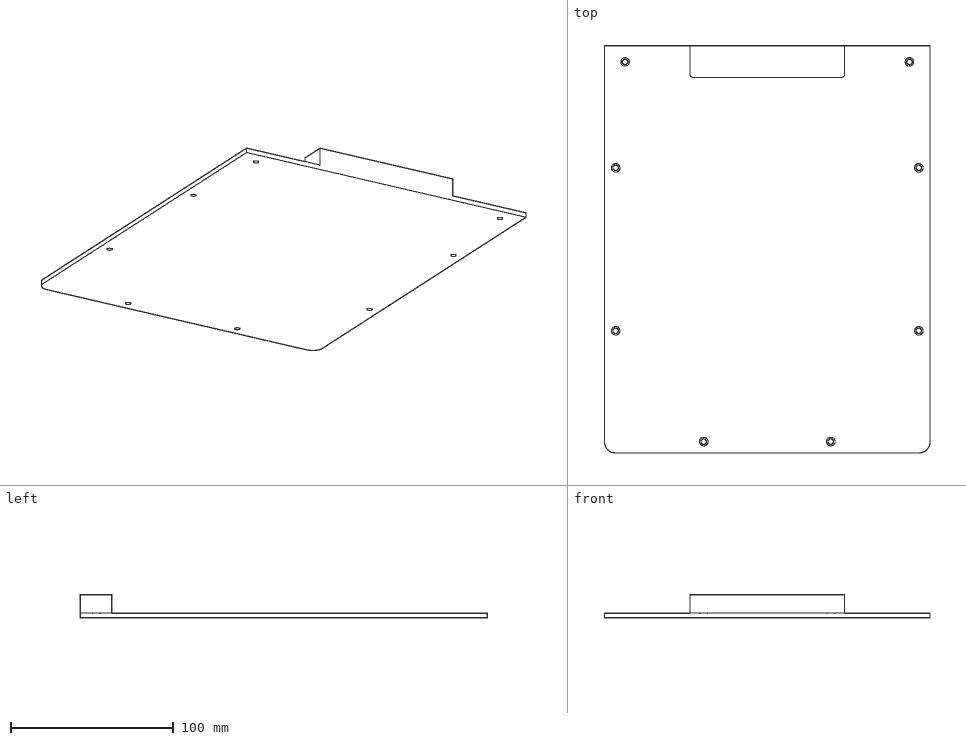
import cadquery as cq

plate_width = 200.0
plate_length = 250.0
plate_thickness = 3.0
front_corner_radius = 7.0

total_height = 14.2
block_width = 95.0
block_depth = 19.5
block_corner_radius = 2.0

hole_diameter = 3.2
countersink_diameter = 5.2
countersink_angle = 90.0
edge_inset = 7.0
rear_hole_inset_x = 12.8
rear_hole_inset_y = 10.0
side_hole_offset = 50.0
front_hole_offset = 39.0

half_width = plate_width / 2
half_length = plate_length / 2


def make_plate():
    plate = cq.Workplane("XY").box(plate_width, plate_length, plate_thickness, centered=(True, True, False))
    return plate.edges("|Z and <Y").fillet(front_corner_radius)


def make_block():
    block = (
        cq.Workplane("XY")
        .center(0, half_length - block_depth / 2)
        .box(block_width, block_depth, total_height, centered=(True, True, False))
    )
    return block.edges("|Z and <Y").fillet(block_corner_radius)


def hole_positions():
    right_side = [
        (half_width - rear_hole_inset_x, half_length - rear_hole_inset_y),
        (half_width - edge_inset, side_hole_offset),
        (half_width - edge_inset, -side_hole_offset),
        (front_hole_offset, -half_length + edge_inset),
    ]
    return [(side * x, y) for x, y in right_side for side in (-1, 1)]


result = (
    make_plate()
    .faces(">Z")
    .workplane(origin=(0, 0, plate_thickness))
    .pushPoints(hole_positions())
    .cskHole(hole_diameter, countersink_diameter, countersink_angle)
    .union(make_block())
)